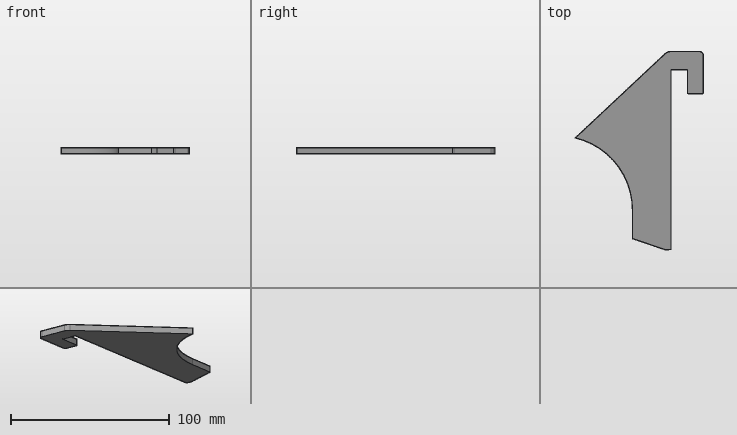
import cadquery as cq
import math

thickness = 4.0
height = 125.0
total_width = 80.8

slot_width = 10.1
arm_width = 10.1
arm_length = 26.8
bridge_height = 11.6
hook_width = slot_width + arm_width
outer_radius = 2.5
arm_tip_radius = 1.0

tip_x = hook_width - total_width
tip_y = 70.5
slope_top_x = -2.4
slope_top_radius = 5.0

leg_width = 24.5
leg_corner_y = 7.1
arc_end_y = 25.2
foot_width = 3.6
foot_rise = 0.2

arc_run = -leg_width - tip_x
arc_rise = tip_y - arc_end_y
arc_radius = (arc_run**2 + arc_rise**2) / (2 * arc_run)
arc_center_x = -leg_width - arc_radius
half_sweep = math.asin(arc_rise / arc_radius) / 2
arc_middle = (
    arc_center_x + arc_radius * math.cos(half_sweep),
    arc_end_y + arc_radius * math.sin(half_sweep),
)

slot_top_y = height - bridge_height
arm_end_y = height - arm_length

plate = (
    cq.Workplane("XY")
    .moveTo(tip_x, tip_y)
    .lineTo(slope_top_x, height)
    .lineTo(hook_width, height)
    .lineTo(hook_width, arm_end_y)
    .lineTo(slot_width, arm_end_y)
    .lineTo(slot_width, slot_top_y)
    .lineTo(0, slot_top_y)
    .lineTo(0, foot_rise)
    .lineTo(-foot_width, 0)
    .lineTo(-leg_width, leg_corner_y)
    .lineTo(-leg_width, arc_end_y)
    .threePointArc(arc_middle, (tip_x, tip_y))
    .close()
    .extrude(thickness)
)


def round_corner(body, x, y, radius):
    """Round the upright edge nearest to the corner (x, y)."""
    corner = cq.selectors.NearestToPointSelector((x, y, thickness / 2))
    return body.edges("|Z").edges(corner).fillet(radius)


result = round_corner(plate, slope_top_x, height, slope_top_radius)
result = round_corner(result, hook_width, height, outer_radius)
for arm_side_x in (slot_width, hook_width):
    result = round_corner(result, arm_side_x, arm_end_y, arm_tip_radius)